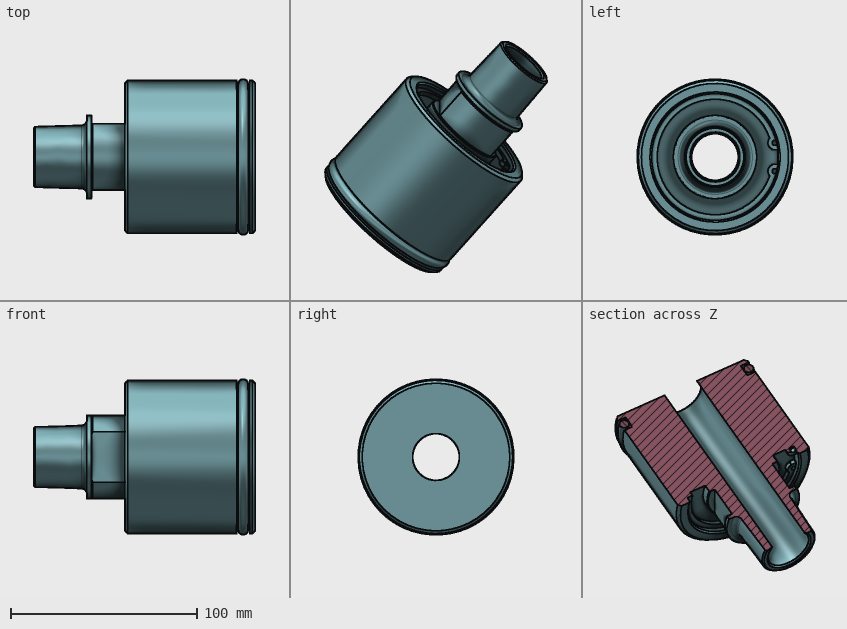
import cadquery as cq
import math

TOTAL_LENGTH = 119.1
THROUGH_BORE_RADIUS = 25.0 / 2

SPIGOT_TIP_RADIUS = 16.3
SPIGOT_ROOT_RADIUS = 17.0
SPIGOT_TIP_CHAMFER = 0.8
SPIGOT_LENGTH = 25.6
SPIGOT_FILLET = 3.0
BORE_MOUTH_CHAMFER = 1.0
COLLAR_RADIUS = 44.8 / 2
FLANGE_WIDTH = 2.7
FLAT_LENGTH = 18.6
FLAT_DISTANCE = 17.9
V_GROOVE_DEPTH = 0.5

HOUSING_RADIUS = 82.4 / 2
HOUSING_START = 49.0
HOUSING_FRONT_CHAMFER = 1.7
HOUSING_REAR_CHAMFER = 1.5
RECESS_RADIUS = 68.1 / 2
RECESS_MOUTH_CHAMFER = 1.0
RECESS_DEPTH = 5.8

CLIP_THICKNESS = 2.5
CLIP_INNER_RADIUS = 31.1
CLIP_HALF_GAP = 3.9
CLIP_EAR_RADIUS = 3.7
CLIP_EAR_Y = -32.2
CLIP_HOLE_DIAMETER = 2.7

RING_SECTION_DIAMETER = 5.4
RING_INNER_RADIUS = 73.0 / 2
GROOVE_WIDTH = 7.0
REAR_LIP_WIDTH = 3.0

FLANGE_START = SPIGOT_LENGTH + SPIGOT_FILLET
FLAT_START = FLANGE_START + FLANGE_WIDTH
FLAT_END = FLAT_START + FLAT_LENGTH
RECESS_FLOOR = HOUSING_START + RECESS_DEPTH
CLIP_START = RECESS_FLOOR - CLIP_THICKNESS
GROOVE_END = TOTAL_LENGTH - REAR_LIP_WIDTH
GROOVE_START = GROOVE_END - GROOVE_WIDTH
CLIP_EAR_Z = CLIP_HALF_GAP + CLIP_EAR_RADIUS


def revolve_about_x(profile):
    """Full turn of a closed XY profile about the X axis."""
    return profile.close().revolve(360, (0, 0, 0), (1, 0, 0))


def clip_cylinder(radius, y=0, z=0):
    """Cylinder parallel to X, through the thickness of the retaining ring."""
    return cq.Workplane("YZ", origin=(CLIP_START, y, z)).circle(radius).extrude(CLIP_THICKNESS)


def make_spigot():
    """Tapered pipe end, filleted into the flange, with a plain collar up to the recess floor."""
    fillet_mid_x = SPIGOT_LENGTH + SPIGOT_FILLET * math.sin(math.pi / 4)
    fillet_mid_radius = SPIGOT_ROOT_RADIUS + SPIGOT_FILLET * (1 - math.cos(math.pi / 4))
    profile = (
        cq.Workplane("XY")
        .lineTo(0, SPIGOT_TIP_RADIUS - SPIGOT_TIP_CHAMFER)
        .lineTo(SPIGOT_TIP_CHAMFER, SPIGOT_TIP_RADIUS)
        .lineTo(SPIGOT_LENGTH, SPIGOT_ROOT_RADIUS)
        .threePointArc(
            (fillet_mid_x, fillet_mid_radius),
            (FLANGE_START, SPIGOT_ROOT_RADIUS + SPIGOT_FILLET),
        )
        .lineTo(FLANGE_START, COLLAR_RADIUS)
        .lineTo(RECESS_FLOOR, COLLAR_RADIUS)
        .lineTo(RECESS_FLOOR, 0)
    )
    return revolve_about_x(profile)


def make_v_groove(bottom_x):
    """Cutter for a 90 degree V-groove around the collar."""
    profile = (
        cq.Workplane("XY")
        .moveTo(bottom_x - V_GROOVE_DEPTH, COLLAR_RADIUS)
        .lineTo(bottom_x, COLLAR_RADIUS - V_GROOVE_DEPTH)
        .lineTo(bottom_x + V_GROOVE_DEPTH, COLLAR_RADIUS)
    )
    return revolve_about_x(profile)


def make_flat(side):
    """Cutter for one wrench flat; side is -1 or +1 along Y."""
    depth = COLLAR_RADIUS - FLAT_DISTANCE
    return cq.Workplane("XY").box(FLAT_LENGTH, depth, 2 * COLLAR_RADIUS).translate(
        ((FLAT_START + FLAT_END) / 2, side * (FLAT_DISTANCE + depth / 2), 0)
    )


def make_housing():
    """Cylinder with chamfered ends, a front recess and an O-ring groove."""
    mouth_radius = RECESS_RADIUS + RECESS_MOUTH_CHAMFER
    profile = (
        cq.Workplane("XY")
        .moveTo(RECESS_FLOOR, 0)
        .lineTo(RECESS_FLOOR, RECESS_RADIUS)
        .lineTo(HOUSING_START + RECESS_MOUTH_CHAMFER, RECESS_RADIUS)
        .lineTo(HOUSING_START, mouth_radius)
        .lineTo(HOUSING_START, HOUSING_RADIUS - HOUSING_FRONT_CHAMFER)
        .lineTo(HOUSING_START + HOUSING_FRONT_CHAMFER, HOUSING_RADIUS)
        .lineTo(GROOVE_START, HOUSING_RADIUS)
        .lineTo(GROOVE_START, RING_INNER_RADIUS)
        .lineTo(GROOVE_END, RING_INNER_RADIUS)
        .lineTo(GROOVE_END, HOUSING_RADIUS)
        .lineTo(TOTAL_LENGTH - HOUSING_REAR_CHAMFER, HOUSING_RADIUS)
        .lineTo(TOTAL_LENGTH, HOUSING_RADIUS - HOUSING_REAR_CHAMFER)
        .lineTo(TOTAL_LENGTH, 0)
    )
    return revolve_about_x(profile)


def make_clip():
    """Open retaining ring with two rounded ears beside its gap on the -Y side."""
    disc = clip_cylinder(RECESS_RADIUS)
    ring = disc.cut(clip_cylinder(CLIP_INNER_RADIUS))
    for side in (-1, 1):
        ring = ring.union(clip_cylinder(CLIP_EAR_RADIUS, CLIP_EAR_Y, side * CLIP_EAR_Z))
    gap = cq.Workplane("XY").box(CLIP_THICKNESS, RECESS_RADIUS, 2 * CLIP_HALF_GAP).translate(
        (CLIP_START + CLIP_THICKNESS / 2, -RECESS_RADIUS, 0)
    )
    return ring.cut(gap).intersect(disc)


def make_through_bore():
    """Cutter for the central bore, with a chamfered mouth at the spigot tip."""
    profile = (
        cq.Workplane("XY")
        .lineTo(0, THROUGH_BORE_RADIUS + BORE_MOUTH_CHAMFER)
        .lineTo(BORE_MOUTH_CHAMFER, THROUGH_BORE_RADIUS)
        .lineTo(TOTAL_LENGTH, THROUGH_BORE_RADIUS)
        .lineTo(TOTAL_LENGTH, 0)
    )
    return revolve_about_x(profile)


def make_body():
    """Housing with its spigot, wrench flats and retaining ring, in one piece."""
    body = make_spigot()
    for bottom_x in (FLAT_START, FLAT_END):
        body = body.cut(make_v_groove(bottom_x))
    for side in (-1, 1):
        body = body.cut(make_flat(side))
    body = body.union(make_housing()).union(make_clip()).cut(make_through_bore())
    for side in (-1, 1):
        body = body.cut(clip_cylinder(CLIP_HOLE_DIAMETER / 2, CLIP_EAR_Y, side * CLIP_EAR_Z))
    return body


def make_o_ring():
    """Torus resting on the floor of the groove, centred across its width."""
    section_radius = RING_SECTION_DIAMETER / 2
    center = cq.Vector((GROOVE_START + GROOVE_END) / 2, 0, 0)
    x_axis = cq.Vector(1, 0, 0)
    torus = cq.Solid.makeTorus(RING_INNER_RADIUS + section_radius, section_radius, center, x_axis)
    return cq.Workplane(obj=torus)


body = make_body()
o_ring = make_o_ring()

result = cq.Compound.makeCompound([body.val(), o_ring.val()])